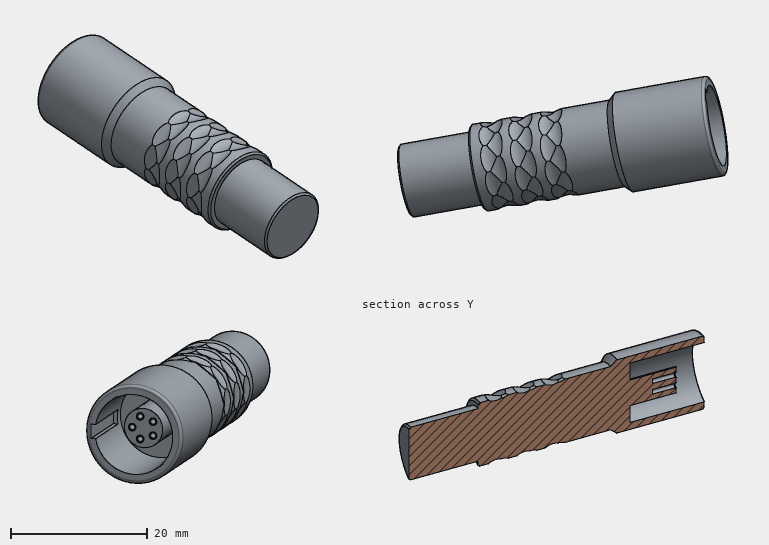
import cadquery as cq
import math

length = 47.0
head_diameter = 14.9
head_radius = head_diameter / 2
head_length = 13.9
shoulder_length = 1.05
grip_radius = 6.5
grip_end = 36.0
tail_radius = 5.45
front_fillet = 0.45
rear_chamfer = 0.3

bore_radius = 6.0
bore_depth = 11.75
keyway_width = 2.15
keyway_radius = 6.65
keyway_length = 10.35

insert_radius = 2.95
insert_recess = 4.45
contact_count = 5
contact_circle_radius = 1.8
contact_rim_radius = 0.55
contact_rim_depth = 0.15
contact_hole_radius = 0.4
contact_hole_depth = 3.75

band_count = 3
band_pitch = 4.5
first_ring_x = 23.15
ring_spacing = 0.9
scallops_per_ring = 10
scallop_depth = 0.445
scallop_arc_radius = 2.0
scallop_step = 360 / scallops_per_ring


def axial_cylinder(radius, start, end):
    """Cylinder on the X axis between two X positions."""
    return cq.Workplane("YZ", origin=(start, 0, 0)).circle(radius).extrude(end - start)


def outer_body():
    shoulder_end = head_length + shoulder_length
    profile = [
        (0, 0),
        (0, head_radius),
        (head_length, head_radius),
        (shoulder_end, grip_radius),
        (grip_end - rear_chamfer, grip_radius),
        (grip_end, grip_radius - rear_chamfer),
        (grip_end, tail_radius),
        (length - rear_chamfer, tail_radius),
        (length, tail_radius - rear_chamfer),
        (length, 0),
    ]
    body = cq.Workplane("XY").polyline(profile).close().revolve(360, (0, 0, 0), (1, 0, 0))
    return body.faces("<X").edges().fillet(front_fillet)


def socket():
    """Annular cavity around the insert, with a keyway on the +Y side."""
    bore = axial_cylinder(bore_radius, 0, bore_depth)
    insert = axial_cylinder(insert_radius, insert_recess, bore_depth)
    keyway_inner = (insert_radius + bore_radius) / 2
    keyway_height = keyway_radius - keyway_inner
    keyway = cq.Workplane("XY", origin=(0, keyway_inner, 0)).box(
        keyway_length, keyway_height, keyway_width, centered=(False, False, True)
    )
    return bore.cut(insert).union(keyway)


def contact_holes():
    """Stepped holes in the insert face, one of them pointing at the keyway."""
    face = cq.Workplane("YZ", origin=(insert_recess, 0, 0))
    centers = face.polarArray(contact_circle_radius, 0, 360, contact_count)
    holes = centers.circle(contact_hole_radius).extrude(contact_hole_depth)
    rims = centers.circle(contact_rim_radius).extrude(contact_rim_depth)
    return holes.union(rims)


def scallop_ring(x, start_angle):
    """Cylinders lying across the grip, evenly spaced around the X axis."""
    axis_distance = grip_radius - scallop_depth + scallop_arc_radius
    tool_length = grip_radius
    cutters = []
    for i in range(scallops_per_ring):
        angle = math.radians(start_angle + i * scallop_step)
        radial = cq.Vector(0, math.cos(angle), math.sin(angle))
        tangent = cq.Vector(0, -math.sin(angle), math.cos(angle))
        start = cq.Vector(x, 0, 0) + radial * axis_distance - tangent * (tool_length / 2)
        cutters.append(cq.Solid.makeCylinder(scallop_arc_radius, tool_length, start, tangent))
    return cutters


connector = outer_body().cut(socket()).cut(contact_holes())

for band in range(band_count):
    ring_x = first_ring_x + band * band_pitch
    for cutter in scallop_ring(ring_x, scallop_step / 2):
        connector = connector.cut(cq.Workplane(cutter))
    for cutter in scallop_ring(ring_x + ring_spacing, 0):
        connector = connector.cut(cq.Workplane(cutter))

result = connector.solids()